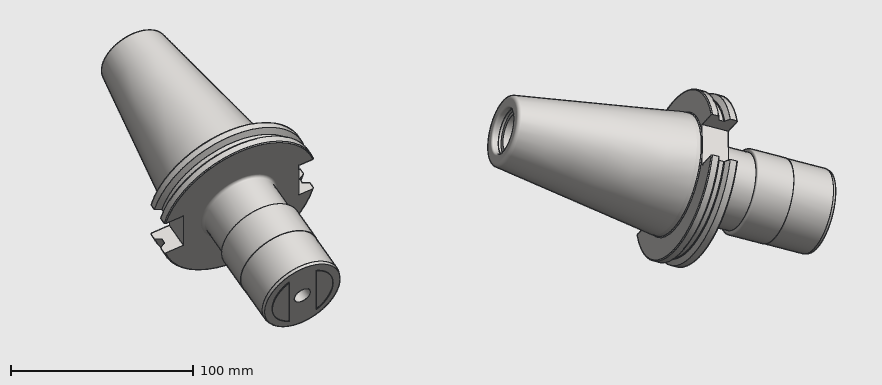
import cadquery as cq
import math

TOTAL_LENGTH = 192.6
GAUGE_X = 101.7
FLANGE_START_X = 104.8
FLANGE_END_X = 120.8
COLLAR_START_X = 143.9
COLLAR_END_X = 166.0
NOSE_END_X = 192.0

GAUGE_DIAMETER = 70.0
TAPER_RATIO = 7 / 24
SMALL_END_DIAMETER = GAUGE_DIAMETER - TAPER_RATIO * GAUGE_X
SMALL_END_ROUND = 2.3

FLANGE_DIAMETER = 97.3
FLANGE_CHAMFER = 0.5
FLANGE_ROOT_FILLET = 0.5
GROOVE_CENTER_X = 112.7
GROOVE_FLOOR_DIAMETER = 90.3
GROOVE_FLOOR_WIDTH = 3.0
GROOVE_MOUTH_WIDTH = 7.0
GROOVE_FLOOR_FILLET = 0.5

SLOT_WIDTH = 26.0
SLOT_FLOOR_BACK = 37.4
SLOT_FLOOR_FRONT = 35.0

NECK_DIAMETER = 44.5
NECK_FILLET = 1.7
COLLAR_DIAMETER = 49.0
COLLAR_ROUND = 1.2
NOSE_DIAMETER = 48.5
NOSE_CHAMFER_LENGTH = 1.7
NOSE_CHAMFER_HEIGHT = 0.5

END_FACE_DIAMETER = 38.1
END_SLOT_WIDTH = 17.0

THROUGH_DIAMETER = 10.0
DRAWBAR_DIAMETER = 22.0
DRAWBAR_DEPTH = 50.0
COUNTERBORE_DIAMETER = 26.2
COUNTERBORE_DEPTH = 5.5
MOUTH_ROUND = 1.2
RELIEF_DIAMETER = 26.8
RELIEF_START = 3.9


def cylinder(start_x, end_x, diameter):
    """Solid cylinder on the X axis between two stations."""
    return (
        cq.Workplane("YZ")
        .workplane(offset=start_x)
        .circle(diameter / 2)
        .extrude(end_x - start_x)
    )


def revolve_about_x(profile):
    return profile.close().revolve(360, (0, 0, 0), (1, 0, 0))


def make_root_fillet(face_x, shaft_radius, fillet, direction):
    """Concave fillet ring where a shaft leaves a face towards +X or -X (direction +1 or -1)."""
    sagitta = fillet * (1 - math.sqrt(0.5))
    profile = (
        cq.Workplane("XY")
        .moveTo(face_x, 0)
        .lineTo(face_x, shaft_radius + fillet)
        .threePointArc(
            (face_x + direction * sagitta, shaft_radius + sagitta),
            (face_x + direction * fillet, shaft_radius),
        )
        .lineTo(face_x + direction * fillet, 0)
    )
    return revolve_about_x(profile)


def make_taper():
    profile = [
        (0, 0),
        (0, SMALL_END_DIAMETER / 2),
        (GAUGE_X, GAUGE_DIAMETER / 2),
        (GAUGE_X, 0),
    ]
    cone = revolve_about_x(cq.Workplane("XY").polyline(profile))
    cone = cone.faces("<X").edges().fillet(SMALL_END_ROUND)
    gauge_cylinder = cylinder(GAUGE_X, FLANGE_START_X, GAUGE_DIAMETER)
    root = make_root_fillet(FLANGE_START_X, GAUGE_DIAMETER / 2, FLANGE_ROOT_FILLET, -1)
    return cone.union(gauge_cylinder).union(root)


def make_v_groove():
    floor_radius = GROOVE_FLOOR_DIAMETER / 2
    rim_radius = FLANGE_DIAMETER / 2
    profile = [
        (GROOVE_CENTER_X - GROOVE_FLOOR_WIDTH / 2, floor_radius),
        (GROOVE_CENTER_X - GROOVE_MOUTH_WIDTH / 2, rim_radius),
        (GROOVE_CENTER_X + GROOVE_MOUTH_WIDTH / 2, rim_radius),
        (GROOVE_CENTER_X + GROOVE_FLOOR_WIDTH / 2, floor_radius),
    ]
    groove = revolve_about_x(cq.Workplane("XY").polyline(profile))
    floor_corner_center = (GROOVE_CENTER_X + GROOVE_FLOOR_WIDTH / 2, 0, 0)
    floor_corner = cq.selectors.NearestToPointSelector(floor_corner_center)
    return groove.edges(floor_corner).fillet(GROOVE_FLOOR_FILLET)


def make_drive_slot(side, floor_distance):
    """Block that cuts one slot through the flange; side is +1 for +Y and -1 for -Y."""
    depth = FLANGE_DIAMETER / 2 - floor_distance
    center = ((FLANGE_START_X + FLANGE_END_X) / 2, side * (floor_distance + depth / 2), 0)
    block = cq.Workplane("XY").box(FLANGE_END_X - FLANGE_START_X, depth, SLOT_WIDTH)
    return block.translate(center)


def make_flange():
    flange = cylinder(FLANGE_START_X, FLANGE_END_X, FLANGE_DIAMETER)
    flange = flange.faces("<X or >X").edges().chamfer(FLANGE_CHAMFER)
    flange = flange.cut(make_v_groove())
    flange = flange.cut(make_drive_slot(1, SLOT_FLOOR_BACK))
    return flange.cut(make_drive_slot(-1, SLOT_FLOOR_FRONT))


def make_neck():
    neck = cylinder(FLANGE_END_X, COLLAR_START_X, NECK_DIAMETER)
    root = make_root_fillet(FLANGE_END_X, NECK_DIAMETER / 2, NECK_FILLET, 1)
    return neck.union(root)


def make_nose():
    collar = cylinder(COLLAR_START_X, COLLAR_END_X, COLLAR_DIAMETER)
    collar = collar.faces("<X").edges().fillet(COLLAR_ROUND)
    nose = cylinder(COLLAR_END_X, NOSE_END_X, NOSE_DIAMETER)
    nose = nose.faces(">X").edges().chamfer(NOSE_CHAMFER_LENGTH, NOSE_CHAMFER_HEIGHT)
    return collar.union(nose)


def make_end_face():
    height = TOTAL_LENGTH - NOSE_END_X
    key_slot = cq.Workplane("XY").box(height, END_SLOT_WIDTH, END_FACE_DIAMETER)
    key_slot = key_slot.translate((NOSE_END_X + height / 2, 0, 0))
    return cylinder(NOSE_END_X, TOTAL_LENGTH, END_FACE_DIAMETER).cut(key_slot)


def make_bores():
    counterbore_radius = COUNTERBORE_DIAMETER / 2
    sagitta = MOUTH_ROUND * (1 - math.sqrt(0.5))
    profile = (
        cq.Workplane("XY")
        .lineTo(0, counterbore_radius + MOUTH_ROUND)
        .threePointArc((sagitta, counterbore_radius + sagitta), (MOUTH_ROUND, counterbore_radius))
        .lineTo(RELIEF_START, counterbore_radius)
        .lineTo(RELIEF_START, RELIEF_DIAMETER / 2)
        .lineTo(COUNTERBORE_DEPTH, RELIEF_DIAMETER / 2)
        .lineTo(COUNTERBORE_DEPTH, DRAWBAR_DIAMETER / 2)
        .lineTo(DRAWBAR_DEPTH, DRAWBAR_DIAMETER / 2)
        .lineTo(DRAWBAR_DEPTH, THROUGH_DIAMETER / 2)
        .lineTo(TOTAL_LENGTH, THROUGH_DIAMETER / 2)
        .lineTo(TOTAL_LENGTH, 0)
    )
    return revolve_about_x(profile)


body = make_taper()
for section in (make_flange(), make_neck(), make_nose(), make_end_face()):
    body = body.union(section)
result = body.cut(make_bores())